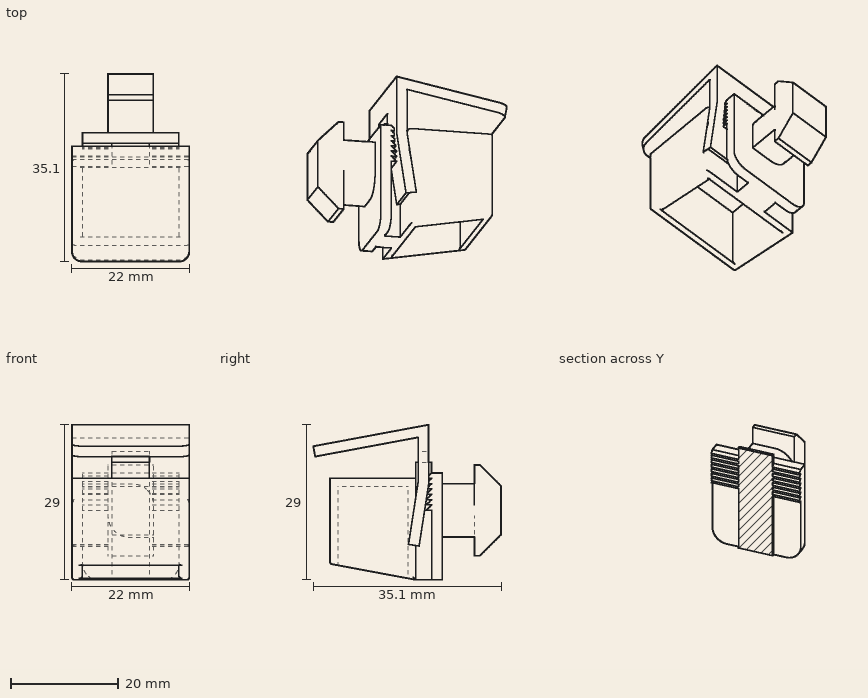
import cadquery as cq
import math


overall_length = 35.12
body_width = 22.0
overall_height = 29.0

plate_width = 17.98
plate_height = 20.0
plate_thickness = 2.0
plate_corner_radius = 3.0

tooth_count = 7
toothed_height = 7.0
tooth_pitch = toothed_height / tooth_count
tooth_depth = tooth_pitch

tongue_width = 7.0
tongue_height = 22.0
tongue_depth = 3.0

housing_depth = 16.0
housing_height = 19.0
underside_rise = 3.0
housing_edge_radius = 0.5
pocket_width = plate_width
pocket_wall = 1.5
pocket_rim_radius = 0.6

hook_width = 8.5
hook_center_height = 13.0
shank_length = 6.0
shank_height = 10.0
shank_corner_radius = 4.0
head_length = 5.0
head_height = 17.0
head_chamfer = 3.97

lever_thickness = 2.0
lever_gap = 0.53
bend_height = 17.98
leg_angle = math.radians(8.8)
leg_length = 11.8
flap_corner_radius = 2.0
slot_top = 24.0

plate_front = -plate_thickness
housing_back = plate_front - tongue_depth
housing_front = housing_back - housing_depth
lever_back = plate_front - lever_gap
lever_front = lever_back - lever_thickness
flap_angle = math.atan2(underside_rise, housing_depth)
hook_tip = shank_length + head_length
flap_tip = hook_tip - overall_length


def block(width, y_min, y_max, z_min, z_max):
    """Box centred on X = 0 between the given Y and Z limits."""
    box = cq.Workplane("XY").box(width, y_max - y_min, z_max - z_min, centered=(True, False, False))
    return box.translate((0, y_min, z_min))


def side_profile(points, width):
    """Prism of a (Y, Z) outline, centred on X = 0."""
    return cq.Workplane("YZ").polyline(points).close().extrude(width / 2, both=True)


def make_toothed_plate():
    """Plate with saw teeth on its front, each with a 45 degree upper flank and a flat underside."""
    outline = [(0, 0), (0, plate_height), (plate_front, plate_height)]
    for tooth in range(1, tooth_count + 1):
        underside = plate_height - tooth * tooth_pitch
        outline.append((plate_front - tooth_depth, underside))
        outline.append((plate_front, underside))
    outline.append((plate_front, 0))
    plate = side_profile(outline, plate_width)
    return plate.edges("|Y and <Z").fillet(plate_corner_radius)


def make_shell():
    """Housing block, rounded at its sides and lower front edge, with a pocket open below."""
    outline = [
        (housing_back, 0),
        (housing_back, housing_height),
        (housing_front, housing_height),
        (housing_front, underside_rise),
    ]
    shell = side_profile(outline, body_width)
    lower_edges = shell.faces("<Z").edges("not >Y")
    shell = lower_edges.add(shell.edges("|Z")).fillet(housing_edge_radius)

    pocket = block(
        pocket_width,
        housing_front + pocket_wall,
        housing_back - pocket_wall,
        0,
        housing_height - pocket_wall,
    )
    shell = shell.cut(pocket)
    rim_y = (housing_front + housing_back) / 2
    rim_z = underside_rise / 2
    left_rim = cq.NearestToPointSelector((-pocket_width / 2, rim_y, rim_z))
    right_rim = cq.NearestToPointSelector((pocket_width / 2, rim_y, rim_z))
    return shell.edges(left_rim + right_rim).fillet(pocket_rim_radius)


def make_hook():
    """Shank with two opposite rounded corners and a head with 45 degree ramps."""
    shank = block(
        hook_width,
        0,
        shank_length,
        hook_center_height - shank_height / 2,
        hook_center_height + shank_height / 2,
    )
    shank = shank.edges("|Y and ((<X and <Z) or (>X and >Z))").fillet(shank_corner_radius)
    head = block(
        hook_width,
        shank_length,
        hook_tip,
        hook_center_height - head_height / 2,
        hook_center_height + head_height / 2,
    )
    head = head.faces(">Y").edges("|X").chamfer(head_chamfer)
    return shank.union(head)


def make_lever():
    """Bent strip: a sloping flap, an upright and a leg angled towards the housing, slotted for the tongue."""

    def flap_top_height(y):
        return overall_height - (lever_back - y) * math.tan(flap_angle)

    flap_end = (flap_tip, flap_top_height(flap_tip))
    flap_end_under = (
        flap_tip + lever_thickness * math.sin(flap_angle),
        flap_end[1] - lever_thickness * math.cos(flap_angle),
    )
    inner_corner = (lever_front, flap_top_height(lever_front) - lever_thickness / math.cos(flap_angle))
    inner_bend = (lever_front, bend_height + lever_thickness * math.tan(leg_angle / 2))
    leg_back = (
        lever_back - leg_length * math.sin(leg_angle),
        bend_height - leg_length * math.cos(leg_angle),
    )
    leg_front = (
        leg_back[0] - lever_thickness * math.cos(leg_angle),
        leg_back[1] + lever_thickness * math.sin(leg_angle),
    )
    lever = side_profile(
        [
            (lever_back, overall_height),
            flap_end,
            flap_end_under,
            inner_corner,
            inner_bend,
            leg_front,
            leg_back,
            (lever_back, bend_height),
        ],
        body_width,
    )
    lever = lever.faces("<Y").edges("not |X").fillet(flap_corner_radius)
    return lever.cut(block(tongue_width, leg_front[0], lever_back, 0, slot_top))


def make_holder(lever):
    """Plate, tongue, housing and hook in one piece, with a seat matching the lever."""
    tongue = block(tongue_width, housing_back, plate_front, 0, tongue_height)
    holder = make_toothed_plate().union(tongue).union(make_shell()).union(make_hook())
    return holder.cut(lever)


lever = make_lever()
holder = make_holder(lever)

result = cq.Compound.makeCompound([holder.solids().val(), lever.solids().val()])